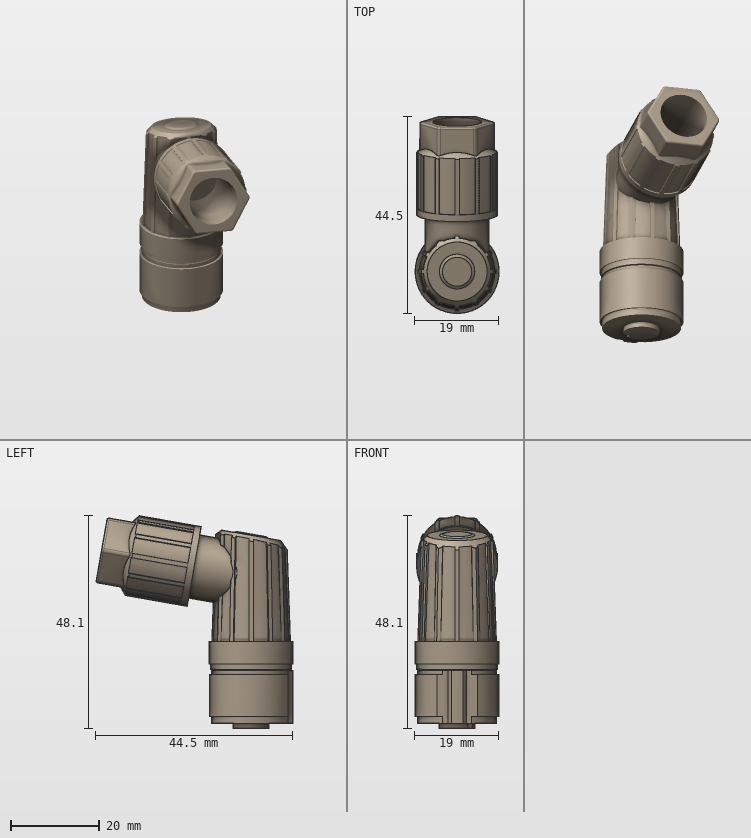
import cadquery as cq
import math

outer_radius = 9.495
spigot_radius = 4.1
ring_radius = 8.95
groove_radius = 8.15
flange_radius = 9.155

keyway_radius = 0.75
keyway_angle = -44.0

spigot_length = 1.1
nut_bottom = 2.65
nut_top = 12.1
ring_top = 13.05
groove_top = 13.3
collar_bottom = 14.55
collar_top = 19.6

flat_distance = 8.3
key_top_half_width = 1.25
key_base_half_width = 2.05

body_radius = 8.55
body_taper_start = 20.15
body_draft = 2.4
rib_draft = 2.0
body_rib_radius = 8.9
square_rib_width = 0.95
square_rib_angles = (0, 60, 90, 120, 180, 240, 270, 300)
ridge_width = 1.75
ridge_offset_angle = 31.3
ridge_angles = [pole + side * ridge_offset_angle for pole in (0, 180) for side in (-1, 1)]

tilt = 10.0
top_center_height = 43.65
top_radius = 6.8
cap_base_radius = 4.0
cap_top_radius = 3.3
cap_height = 0.3

arm_axis_height = 34.3
arm_radius = 7.25
gland_start = 13.08
gland_band_length = 1.55
gland_taper_start = 27.3
gland_taper_slope = 1.25
gland_radius = flange_radius
gland_panel_depth = 0.25
gland_rib_width = 1.0
gland_rib_count = 12
hex_end = 34.35
hex_across_flats = 14.9
hex_corner_radius = 0.95
hex_rim_radius = 0.5
bore_radius = 5.5


def disc(radius, bottom, top):
    return cq.Workplane("XY").workplane(offset=bottom).circle(radius).extrude(top - bottom)


def coupling_plug():
    rings = [
        (ring_radius, spigot_length, nut_bottom),
        (outer_radius, nut_bottom, nut_top),
        (ring_radius, nut_top, ring_top),
    ]
    nut = disc(groove_radius, spigot_length, ring_top)
    for radius, bottom, top in rings:
        nut = nut.union(disc(radius, bottom, top))

    height = ring_top - spigot_length
    beyond_flat = (
        cq.Workplane("XY", origin=(0, -flat_distance - outer_radius, spigot_length))
        .rect(2 * outer_radius, 2 * outer_radius)
        .extrude(height)
    )
    key = (
        cq.Workplane("XY", origin=(0, 0, spigot_length))
        .polyline([
            (-key_base_half_width, -groove_radius),
            (-key_base_half_width, -flat_distance),
            (-key_top_half_width, -outer_radius),
            (key_top_half_width, -outer_radius),
            (key_base_half_width, -flat_distance),
            (key_base_half_width, -groove_radius),
        ])
        .close()
        .extrude(height)
        .intersect(disc(outer_radius, spigot_length, ring_top))
    )
    nut = nut.cut(beyond_flat).union(key)

    keyway = (
        disc(keyway_radius, 0, spigot_length)
        .translate((spigot_radius, 0, 0))
        .rotate((0, 0, 0), (0, 0, 1), keyway_angle)
    )
    plug = disc(spigot_radius, 0, spigot_length).cut(keyway).union(nut)
    plug = plug.union(disc(groove_radius, ring_top, groove_top))
    plug = plug.union(disc(flange_radius, groove_top, collar_bottom))
    return plug.union(disc(outer_radius, collar_bottom, collar_top))


def body_rib(width, crest, angle):
    """Grip rib leaning inward with its draft; crest holds the section's outermost points."""
    half_width = width / 2
    root_radius = math.sqrt(body_radius ** 2 - half_width ** 2)
    inner_radius = body_radius / 2
    outline = (
        [(-half_width, inner_radius), (-half_width, root_radius)]
        + crest
        + [(half_width, root_radius), (half_width, inner_radius)]
    )
    return (
        cq.Workplane("XY")
        .workplane(offset=collar_bottom - collar_top)
        .polyline(outline)
        .close()
        .extrude(top_center_height)
        .rotate((0, 0, 0), (1, 0, 0), rib_draft)
        .translate((0, 0, collar_top))
        .rotate((0, 0, 0), (0, 0, 1), angle)
    )


def top_envelope():
    """45 degree cone along Z with its small end at Z = 0, used to trim the body's upper end."""
    depth = top_center_height
    return (
        cq.Workplane("XY")
        .circle(top_radius)
        .workplane(offset=-depth)
        .circle(top_radius + depth)
        .loft()
    )


def on_sloping_top(shape):
    """Tilt a shape built on Z = 0 onto the sloping top of the body."""
    return shape.rotate((0, 0, 0), (1, 0, 0), tilt).translate((0, 0, top_center_height))


def grip_body():
    height = top_center_height + top_radius - body_taper_start
    tip_radius = body_radius - height * math.tan(math.radians(body_draft))
    body = disc(body_radius, collar_top, body_taper_start)
    body = body.union(
        cq.Workplane("XZ")
        .polyline([
            (0, body_taper_start),
            (body_radius, body_taper_start),
            (tip_radius, body_taper_start + height),
            (0, body_taper_start + height),
        ])
        .close()
        .revolve(360, (0, 0), (0, 1))
    )
    square_corner = square_rib_width / 2
    square_crest = [(-square_corner, body_rib_radius), (square_corner, body_rib_radius)]
    for angle in square_rib_angles:
        body = body.union(body_rib(square_rib_width, square_crest, angle))
    ridge_crest = [(0, body_rib_radius)]
    for angle in ridge_angles:
        body = body.union(body_rib(ridge_width, ridge_crest, angle))
    body = body.intersect(on_sloping_top(top_envelope()))
    cap = (
        cq.Workplane("XY")
        .circle(cap_base_radius)
        .workplane(offset=cap_height)
        .circle(cap_top_radius)
        .loft()
    )
    return body.union(on_sloping_top(cap))


def gland_nut():
    """Fluted nut along Z, tapering onto a rounded hexagon."""
    hex_circumdiameter = hex_across_flats / math.cos(math.radians(30))
    hexagon = (
        cq.Workplane("XY", origin=(0, 0, gland_start))
        .polygon(6, hex_circumdiameter)
        .extrude(hex_end - gland_start)
        .edges("|Z")
        .fillet(hex_corner_radius)
        .faces(">Z")
        .edges()
        .fillet(hex_rim_radius)
    )

    panel_radius = gland_radius - gland_panel_depth
    flutes_start = gland_start + gland_band_length
    taper_run = (gland_radius - arm_radius) / gland_taper_slope
    barrel_end = gland_taper_start + taper_run
    barrel = disc(gland_radius, gland_start, flutes_start)
    barrel = barrel.union(disc(panel_radius, flutes_start, barrel_end))
    for index in range(gland_rib_count):
        rib = (
            cq.Workplane("XY", origin=(0, 0, flutes_start))
            .center(0, gland_radius)
            .rect(gland_rib_width, gland_radius)
            .extrude(barrel_end - flutes_start)
            .rotate((0, 0, 0), (0, 0, 1), index * 360 / gland_rib_count)
        )
        barrel = barrel.union(rib)
    envelope = (
        cq.Workplane("XZ")
        .polyline([
            (0, gland_start),
            (gland_radius, gland_start),
            (gland_radius, gland_taper_start),
            (arm_radius, barrel_end),
            (0, barrel_end),
        ])
        .close()
        .revolve(360, (0, 0), (0, 1))
    )
    return barrel.intersect(envelope).union(hexagon)


def along_arm(shape):
    """Lay a shape built along Z onto the arm axis."""
    return shape.rotate((0, 0, 0), (1, 0, 0), tilt - 90).translate((0, 0, arm_axis_height))


arm = along_arm(disc(arm_radius, 0, gland_start).union(gland_nut()))
bore = along_arm(disc(bore_radius, gland_start, hex_end))

result = coupling_plug().union(grip_body()).union(arm).cut(bore)